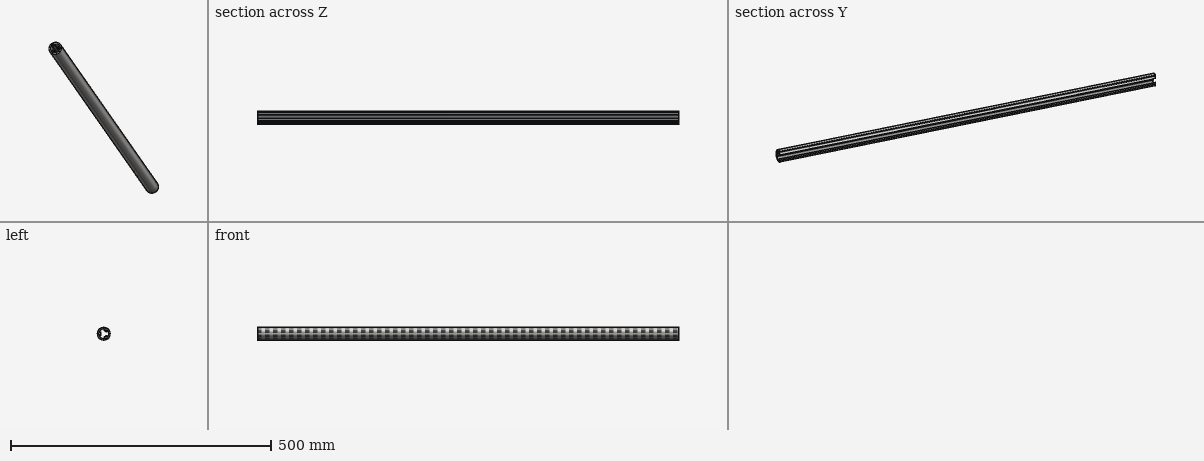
import cadquery as cq

TUBE_LENGTH = 810.0
OUTER_DIAMETER = 25.0
BORE_DIAMETER = 18.5
RIB_COUNT = 3
RIB_WIDTH = 6.25
RIB_FACE_DISTANCE = 5.5
SCREW_HOLE_DIAMETER = 4.0
SCREW_HOLE_DISTANCE = 8.5

OUTER_RADIUS = OUTER_DIAMETER / 2
RIB_STEP_ANGLE = 360.0 / RIB_COUNT


def around_tube_axis(solid):
    """Copies of a solid, one per rib, with the first one towards +Y."""
    return [solid.rotate((0, 0, 0), (1, 0, 0), i * RIB_STEP_ANGLE) for i in range(RIB_COUNT)]


def make_outer_bar():
    """Round bar along X; its surface is two half shells meeting along the top and the bottom."""
    return (
        cq.Workplane("YZ")
        .moveTo(0, OUTER_RADIUS)
        .threePointArc((OUTER_RADIUS, 0), (0, -OUTER_RADIUS))
        .threePointArc((-OUTER_RADIUS, 0), (0, OUTER_RADIUS))
        .close()
        .extrude(TUBE_LENGTH, clean=False)
    )


def make_bore():
    """Round bore, interrupted by flat-faced ribs that stand inwards from the wall."""
    bore = cq.Workplane("YZ").circle(BORE_DIAMETER / 2).extrude(TUBE_LENGTH)
    rib_height = OUTER_RADIUS - RIB_FACE_DISTANCE
    rib = (
        cq.Workplane("YZ")
        .center(RIB_FACE_DISTANCE + rib_height / 2, 0)
        .rect(rib_height, RIB_WIDTH)
        .extrude(TUBE_LENGTH)
    )
    for placed_rib in around_tube_axis(rib):
        bore = bore.cut(placed_rib)
    return bore


def make_screw_holes():
    """One lengthwise hole through each rib."""
    hole = (
        cq.Workplane("YZ")
        .center(SCREW_HOLE_DISTANCE, 0)
        .circle(SCREW_HOLE_DIAMETER / 2)
        .extrude(TUBE_LENGTH)
    )
    return around_tube_axis(hole)


tube = make_outer_bar().cut(make_bore(), clean=False)
for screw_hole in make_screw_holes():
    tube = tube.cut(screw_hole, clean=False)

result = tube